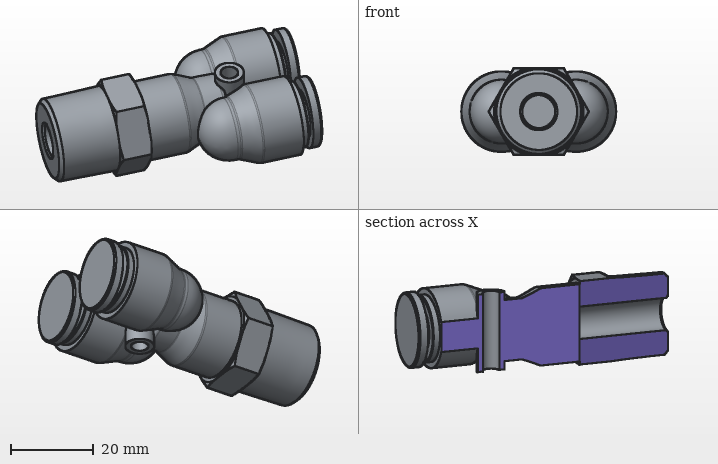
import cadquery as cq
import math

LENGTH = 64.4
WIDTH = 37.5

TUBE_DIAMETER = 19.5
TUBE_RADIUS = TUBE_DIAMETER / 2
NECK_RADIUS = 7.7
BRANCH_OFFSET = (WIDTH - TUBE_DIAMETER) / 2
DOME_CENTER_Y = 43.0
BRANCH_CONE_START_Y = 44.0
BRANCH_CONE_END_Y = 48.95
BRANCH_END_Y = 59.05
STEM_CONE_START_Y = 33.15
STEM_CONE_END_Y = 38.0
BLEND_RADIUS = 1.0
STEM_NECK_BLEND_RADIUS = 0.5

BOSS_DIAMETER = 7.0
BOSS_HOLE_DIAMETER = 4.2
BOSS_Y = 46.05

THREAD_LENGTH = 15.1
THREAD_END_RADIUS = 10.25
THREAD_TOP_RADIUS = 10.5
THREAD_CHAMFER = 0.95
HEX_FLATS = 21.0
HEX_TOP_Y = 23.0
HEX_CORNER_RADIUS = HEX_FLATS / 2 / math.cos(math.pi / 6)
HEX_FACE_RADIUS = 10.8
HEX_CHAMFER_DROP = 0.45
BORE_DIAMETER = 8.0
BORE_CHAMFER = 0.5

COLLAR_DIAMETER = 16.5
COLLAR_TOP_Y = 60.85
COLLAR_CHAMFER = 0.2
BUSH_STEM_DIAMETER = 11.7
BUSH_RIM_WIDTH = 16.0
BUSH_RIM_HEIGHT = 18.55
BUSH_RIM_THICKNESS = 2.4
BUSH_RIM_CHAMFER = 0.4


def cylinder_y(radius, start_y, end_y, x=0.0):
    """Cylinder along +Y from start_y to end_y, with its axis at the given X."""
    return cq.Workplane(cq.Solid.makeCylinder(
        radius, end_y - start_y, cq.Vector(x, start_y, 0), cq.Vector(0, 1, 0)))


def revolve_y(outline):
    """Solid of revolution about the Y axis from a half outline that starts and ends on it."""
    return outline.close().revolve(360, (0, 0, 0), (0, 1, 0))


def round_edge(body, y, radius):
    """Round the circular edge that lies at the given Y."""
    margin = 0.05
    slab = cq.selectors.BoxSelector((-LENGTH, y - margin, -LENGTH), (LENGTH, y + margin, LENGTH))
    return body.edges("%CIRCLE").edges(slab).fillet(radius)


def make_branch(x):
    """Branch tube that narrows to a neck and closes with a dome."""
    diagonal = NECK_RADIUS * math.sqrt(0.5)
    outline = (
        cq.Workplane("XY")
        .moveTo(0, DOME_CENTER_Y - NECK_RADIUS)
        .threePointArc((diagonal, DOME_CENTER_Y - diagonal), (NECK_RADIUS, DOME_CENTER_Y))
        .lineTo(NECK_RADIUS, BRANCH_CONE_START_Y)
        .lineTo(TUBE_RADIUS, BRANCH_CONE_END_Y)
        .lineTo(TUBE_RADIUS, BRANCH_END_Y)
        .lineTo(0, BRANCH_END_Y)
    )
    branch = round_edge(revolve_y(outline), BRANCH_CONE_START_Y, BLEND_RADIUS)
    branch = round_edge(branch, BRANCH_CONE_END_Y, BLEND_RADIUS)
    return branch.translate((x, 0, 0))


def make_stem():
    """Stem tube that narrows to a neck and ends, with a rounded rim, between the branches."""
    neck_end_y = DOME_CENTER_Y + BLEND_RADIUS
    outline = (
        cq.Workplane("XY")
        .moveTo(0, HEX_TOP_Y)
        .lineTo(TUBE_RADIUS, HEX_TOP_Y)
        .lineTo(TUBE_RADIUS, STEM_CONE_START_Y)
        .lineTo(NECK_RADIUS, STEM_CONE_END_Y)
        .lineTo(NECK_RADIUS, neck_end_y)
        .lineTo(0, neck_end_y)
    )
    stem = round_edge(revolve_y(outline), STEM_CONE_START_Y, BLEND_RADIUS)
    stem = round_edge(stem, STEM_CONE_END_Y, STEM_NECK_BLEND_RADIUS)
    return round_edge(stem, neck_end_y, BLEND_RADIUS)


def make_housing():
    """Y-shaped housing with a drilled boss through its middle."""
    middle = cq.Workplane("XY").center(0, BOSS_Y)
    boss = middle.circle(BOSS_DIAMETER / 2).extrude(TUBE_RADIUS, both=True)
    hole = middle.circle(BOSS_HOLE_DIAMETER / 2).extrude(TUBE_RADIUS, both=True)
    housing = make_stem().union(boss)
    for side in (-1, 1):
        housing = housing.union(make_branch(side * BRANCH_OFFSET))
    return housing.cut(hole)


def make_hexagon():
    """Hexagon with two flats facing +Z and -Z and its corners chamfered at both ends."""
    prism = (
        cq.Workplane("XZ", origin=(0, HEX_TOP_Y, 0))
        .polygon(6, 2 * HEX_CORNER_RADIUS)
        .extrude(HEX_TOP_Y - THREAD_LENGTH)
    )
    outline = (
        cq.Workplane("XY")
        .moveTo(0, THREAD_LENGTH)
        .lineTo(HEX_FACE_RADIUS, THREAD_LENGTH)
        .lineTo(HEX_CORNER_RADIUS, THREAD_LENGTH + HEX_CHAMFER_DROP)
        .lineTo(HEX_CORNER_RADIUS, HEX_TOP_Y - HEX_CHAMFER_DROP)
        .lineTo(HEX_FACE_RADIUS, HEX_TOP_Y)
        .lineTo(0, HEX_TOP_Y)
    )
    return prism.intersect(revolve_y(outline))


def make_nipple():
    """Hexagon with a tapered thread blank, bored from end to end."""
    bore_radius = BORE_DIAMETER / 2
    thread = revolve_y(
        cq.Workplane("XY")
        .lineTo(THREAD_END_RADIUS - THREAD_CHAMFER, 0)
        .lineTo(THREAD_END_RADIUS, THREAD_CHAMFER)
        .lineTo(THREAD_TOP_RADIUS, THREAD_LENGTH)
        .lineTo(0, THREAD_LENGTH)
    )
    bore = revolve_y(
        cq.Workplane("XY")
        .lineTo(bore_radius + BORE_CHAMFER, 0)
        .lineTo(bore_radius, BORE_CHAMFER)
        .lineTo(bore_radius, HEX_TOP_Y)
        .lineTo(0, HEX_TOP_Y)
    )
    return make_hexagon().union(thread).cut(bore)


def make_collar(x):
    """Collar on the open end of a branch."""
    collar = cylinder_y(COLLAR_DIAMETER / 2, BRANCH_END_Y, COLLAR_TOP_Y, x)
    return collar.faces(">Y").chamfer(COLLAR_CHAMFER)


def make_bush(x):
    """Release bush: an oval rim on a narrower round stem that stands on the collar."""
    rim_y = LENGTH - BUSH_RIM_THICKNESS
    rim = (
        cq.Workplane("XZ", origin=(x, LENGTH, 0))
        .ellipse(BUSH_RIM_WIDTH / 2, BUSH_RIM_HEIGHT / 2)
        .extrude(BUSH_RIM_THICKNESS)
        .faces(">Y")
        .chamfer(BUSH_RIM_CHAMFER)
    )
    return rim.union(cylinder_y(BUSH_STEM_DIAMETER / 2, COLLAR_TOP_Y, rim_y, x))


housing = make_housing()
nipple = make_nipple()
collars = []
bushes = []
for side in (-1, 1):
    collars.append(make_collar(side * BRANCH_OFFSET).val())
    bushes.append(make_bush(side * BRANCH_OFFSET).val())

result = cq.Compound.makeCompound([housing.val(), nipple.val(), *collars, *bushes])